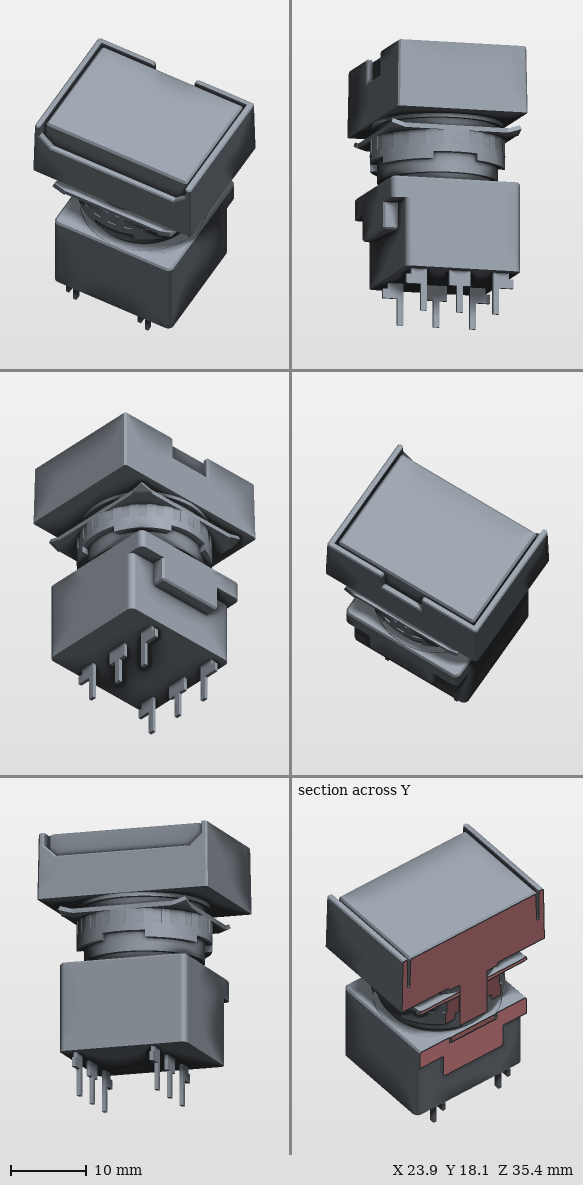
import cadquery as cq
import math

shoulder_bottom = 3.55
shoulder_top = 4.78
block_bottom = 5.55
latch_bottom = 11.1
overhang_bottom = 14.7
block_top = 17.6
neck_top = 18.65
nut_bottom = 20.32
nut_gap_top = 21.25
grip_bottom = 22.3
nut_top = 24.18
bezel_bottom = 26.4
bezel_top = 35.4

edge_break = 0.25

block_size = 17.85
block_corner_radius = 0.8
block_back_y = 6.95
latch_width = 10.0
socket_diameter = 17.2
socket_depth = 1.0

terminal_thickness = 0.5
terminal_rows_x = (-7.0, 3.85)
terminal_centre_y = -0.95
terminal_pitch = 5.0
leg_width = 0.8
middle_shoulder_width = 2.85
outer_shoulder_reach = 7.35
outer_root_reach = 6.73

foot_clearance = 0.1
foot_diameter = socket_diameter - 2 * foot_clearance
foot_sink = 0.1
neck_diameter = 14.6
barrel_diameter = 16.0
flange_diameter = 17.4
flange_thickness = 0.5

bezel_length = 23.9
bezel_width = 17.9
draft = 1.0
rim_break = 0.18
cavity_length = 22.02
cavity_width = 16.15
cavity_depth = 5.0
notch_depth = 3.25
notch_inner_break = 0.15
front_notch_floor_length = 18.62
front_notch_side_depth = 1.7
back_notch_length = 6.15

button_length = 21.3
button_width = 15.45
button_break = 0.3

nut_diameter = 17.9
grip_count = 24
grip_width = 1.17
grip_depth = 0.1
nut_gap_width = 6.05

washer_size = 17.7
washer_thickness = 0.6
washer_fold_offset = 1.7
washer_fold_angle = 25.0
washer_bend_radius = 0.53

notch_floor = bezel_top - notch_depth
washer_top = nut_top + washer_thickness
washer_fold_reach = (washer_size - washer_fold_offset) / math.sqrt(2)


def box(length, width, bottom, top, x=0, y=0):
    return cq.Workplane("XY").workplane(offset=bottom).center(x, y).rect(length, width).extrude(top - bottom)


def cylinder(diameter, bottom, top):
    return cq.Workplane("XY").workplane(offset=bottom).circle(diameter / 2).extrude(top - bottom)


def make_block():
    half = block_size / 2
    overlap = 0.35

    top_part = box(block_size, block_size, overhang_bottom, block_top)
    top_part = top_part.edges("|Z").fillet(block_corner_radius)
    top_part = top_part.faces(">Z").chamfer(edge_break)

    lower_width = half + block_back_y
    lower_y = (block_back_y - half) / 2
    lower_part = box(block_size, lower_width, block_bottom, overhang_bottom + overlap, y=lower_y)
    lower_part = lower_part.edges("|Z").fillet(block_corner_radius)

    latch = box(latch_width, half, latch_bottom, overhang_bottom + overlap, y=half / 2)
    latch = latch.edges("|Z and >Y").chamfer(edge_break)
    latch = latch.faces("<Z").chamfer(edge_break)

    block = top_part.union(lower_part).union(latch)
    block = block.cut(cylinder(socket_diameter, block_top - socket_depth, block_top))
    for x in terminal_rows_x:
        block = block.union(middle_terminal(x))
        for side in (-1, 1):
            block = block.union(outer_terminal(x, side))
    return block


def terminal(outline, x):
    start = x - terminal_thickness / 2
    return cq.Workplane("YZ").workplane(offset=start).polyline(outline).close().extrude(terminal_thickness)


def middle_terminal(x):
    half_leg = leg_width / 2
    half_shoulder = middle_shoulder_width / 2
    offsets = [
        (-half_leg, 0),
        (half_leg, 0),
        (half_leg, shoulder_bottom),
        (half_shoulder, shoulder_bottom),
        (half_shoulder, block_bottom),
        (-half_shoulder, block_bottom),
        (-half_shoulder, shoulder_bottom),
        (-half_leg, shoulder_bottom),
    ]
    return terminal([(terminal_centre_y + offset, z) for offset, z in offsets], x)


def outer_terminal(x, side):
    leg_inner = terminal_pitch - leg_width / 2
    leg_outer = terminal_pitch + leg_width / 2
    reaches = [
        (leg_inner, 0),
        (leg_outer, 0),
        (leg_outer, shoulder_bottom),
        (outer_shoulder_reach, shoulder_bottom),
        (outer_shoulder_reach, shoulder_top),
        (outer_root_reach, shoulder_top),
        (outer_root_reach, block_bottom),
        (leg_inner, block_bottom),
    ]
    return terminal([(terminal_centre_y + side * reach, z) for reach, z in reaches], x)


def make_operator():
    return make_stem().union(make_bezel()).union(make_button_face())


def make_stem():
    foot_top = block_top - foot_sink
    foot = cylinder(foot_diameter, block_top - socket_depth, foot_top)
    neck = cylinder(neck_diameter, foot_top, neck_top)
    barrel = cylinder(barrel_diameter, neck_top, bezel_bottom)
    flange = cylinder(flange_diameter, bezel_bottom - flange_thickness, bezel_bottom)
    return foot.union(neck).union(barrel).union(flange)


def make_bezel():
    shell = cq.Workplane("XY").workplane(offset=bezel_bottom).rect(bezel_length, bezel_width)
    shell = shell.extrude(bezel_top - bezel_bottom, taper=draft)
    shell = shell.edges("not(|X or |Y)").chamfer(edge_break)
    shell = shell.cut(front_notch()).cut(back_notch())
    shell = shell.newObject(outer_rim_edges(shell)).chamfer(rim_break)
    shell = shell.cut(cavity())
    return shell.newObject(notch_inner_edges(shell)).chamfer(notch_inner_break)


def outer_rim_edges(shell):
    """Edges where the outer walls meet the top and the notches."""
    inside_x = cavity_length / 2 + rim_break
    inside_y = cavity_width / 2 + rim_break
    lowest = notch_floor - rim_break
    rim = []
    for edge in shell.edges().vals():
        centre = edge.Center()
        if centre.z > lowest and (abs(centre.x) > inside_x or abs(centre.y) > inside_y):
            rim.append(edge)
    return rim


def notch_inner_edges(shell):
    """Edges where the two notch floors meet the cavity."""
    tolerance = 0.05
    inner = []
    for edge in shell.edges("|X").vals():
        centre = edge.Center()
        at_floor = abs(centre.z - notch_floor) < tolerance
        if at_floor and abs(centre.y) < cavity_width / 2 + tolerance:
            inner.append(edge)
    return inner


def front_notch():
    half_top = cavity_length / 2
    half_floor = front_notch_floor_length / 2
    side_bottom = bezel_top - front_notch_side_depth
    outline = [
        (-half_top, bezel_top),
        (-half_top, side_bottom),
        (-half_floor, notch_floor),
        (half_floor, notch_floor),
        (half_top, side_bottom),
        (half_top, bezel_top),
    ]
    return cq.Workplane("XZ").polyline(outline).close().extrude(bezel_width)


def back_notch():
    half = back_notch_length / 2
    outline = [
        (-half - edge_break, bezel_top),
        (-half, bezel_top - edge_break),
        (-half, notch_floor),
        (half, notch_floor),
        (half, bezel_top - edge_break),
        (half + edge_break, bezel_top),
    ]
    return cq.Workplane("XZ").polyline(outline).close().extrude(-bezel_width)


def cavity():
    opening = cq.Workplane("XY").workplane(offset=bezel_top).rect(cavity_length, cavity_width)
    return opening.extrude(-cavity_depth, taper=draft)


def make_button_face():
    spread = 2 * cavity_depth * math.tan(math.radians(draft))
    base = cq.Workplane("XY").workplane(offset=bezel_top - cavity_depth)
    face = base.rect(button_length + spread, button_width + spread).extrude(cavity_depth, taper=draft)
    face = face.edges("not(|X or |Y)").chamfer(edge_break)
    return face.faces(">Z").chamfer(button_break)


def make_nut():
    nut = cylinder(nut_diameter, nut_bottom, nut_top)
    grip = box(2 * grip_depth, grip_width, grip_bottom, nut_top, x=nut_diameter / 2)
    for index in range(grip_count):
        nut = nut.cut(grip.rotate((0, 0, 0), (0, 0, 1), index * 360 / grip_count))
    nut = nut.cut(box(nut_gap_width, nut_diameter, nut_bottom, nut_gap_top))
    nut = nut.cut(box(nut_diameter, nut_gap_width, nut_bottom, nut_gap_top))
    return nut.cut(cylinder(barrel_diameter, nut_bottom, nut_top))


def make_washer():
    bend_start = washer_fold_reach - washer_bend_radius * math.tan(math.radians(washer_fold_angle / 2))
    square = box(washer_size, washer_size, nut_top, washer_top)
    flat_limit = box(2 * bend_start, 2 * bend_start, nut_top, washer_top)
    washer = square.intersect(flat_limit.rotate((0, 0, 0), (0, 0, 1), 45))
    corner = bent_corner(bend_start)
    for index in range(4):
        washer = washer.union(corner.rotate((0, 0, 0), (0, 0, 1), 45 + index * 90))
    return washer.cut(cylinder(barrel_diameter, nut_top, washer_top))


def bent_corner(bend_start):
    """Corner that points along +X: an arc bend and a tilted tip, trimmed to the washer's outline."""
    angle = math.radians(washer_fold_angle)
    axis_z = washer_top + washer_bend_radius
    tip_length = washer_fold_offset
    outer_radius = washer_bend_radius + washer_thickness

    def on_bend(radius, turn, along=0.0):
        x = bend_start + radius * math.sin(turn) + along * math.cos(turn)
        return (x, axis_z - radius * math.cos(turn) + along * math.sin(turn))

    strip = (
        cq.Workplane("XZ")
        .moveTo(bend_start, nut_top)
        .threePointArc(on_bend(outer_radius, angle / 2), on_bend(outer_radius, angle))
        .lineTo(*on_bend(outer_radius, angle, tip_length))
        .lineTo(*on_bend(washer_bend_radius, angle, tip_length))
        .lineTo(*on_bend(washer_bend_radius, angle))
        .threePointArc(on_bend(washer_bend_radius, angle / 2), (bend_start, washer_top))
        .close()
        .extrude(washer_size / 2, both=True)
    )

    trim_height = 4 * washer_thickness
    square = box(washer_size, washer_size, washer_top - trim_height, washer_top + trim_height)
    square = square.rotate((0, 0, 0), (0, 0, 1), 45)
    fold_start = (washer_fold_reach, 0, washer_top)
    fold_end = (washer_fold_reach, 1, washer_top)
    tilted = square.rotate(fold_start, fold_end, -washer_fold_angle)
    before_fold = box(2 * washer_fold_reach, 2 * washer_size, nut_top, washer_top + trim_height)
    return strip.intersect(square.intersect(before_fold).union(tilted.cut(before_fold)))


block = make_block()
operator = make_operator()
nut = make_nut()
washer = make_washer()

result = cq.Compound.makeCompound([block.val(), operator.val(), nut.val(), washer.val()])